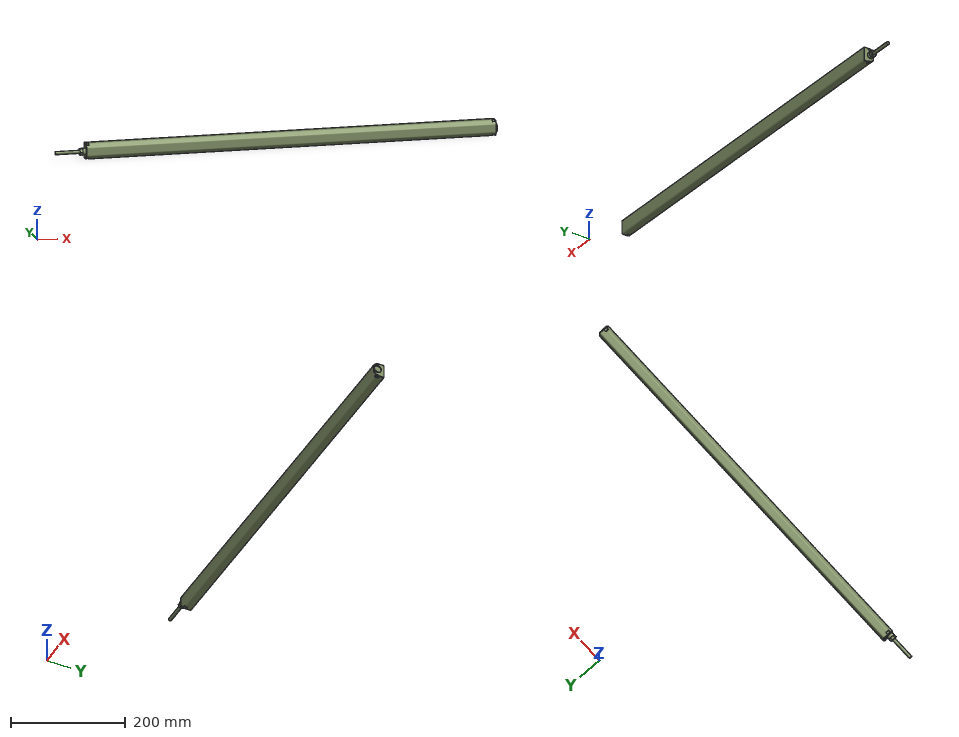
import cadquery as cq
import math


bar_depth = 21.0
bar_height = 28.0
back_radius = 2.3
slope_leg = 6.65
slope_radius = 3.3

bar_length = 735.8
cap_length = 14.0
cap_taper = 0.3
cap_end_chamfer = 0.87

scoop_radius = 3.5
scoop_length = 4.5
scoop_end_gap = 3.5
scoop_y = -2.7

entry_y = -3.0
cable_diameter = 6.0
cable_length = 43.5
nut_across_flats = 11.0
nut_length = 5.0
nut_chamfer = 0.5
collar_diameter = 12.5
collar_length = 5.5
plug_diameter = 13.5
plug_length = 1.7

back_y = bar_depth / 2
front_y = -back_y
top_z = bar_height / 2
slope_top_y = front_y + slope_leg
slope_bottom_z = top_z - slope_leg
body_length = bar_length - 2 * cap_length
nut_start = -collar_length - nut_length
nut_across_corners = nut_across_flats / math.cos(math.radians(30))


def straight_bar(start, length):
    """Prism of the rounded bar section running from start towards +X."""
    corners = [
        (back_y, top_z),
        (slope_top_y, top_z),
        (front_y, slope_bottom_z),
        (front_y, -slope_bottom_z),
        (slope_top_y, -top_z),
        (back_y, -top_z),
    ]
    prism = cq.Workplane("YZ", origin=(start, 0, 0)).polyline(corners).close().extrude(length)
    prism = prism.edges("|X and >Y").fillet(back_radius)
    slope_edges = prism.edges("|X").filter(lambda edge: edge.Center().y < 0)
    return slope_edges.fillet(slope_radius)


def scoop(start, z):
    """Cylinder along X that sinks a rounded hollow into the face at height z."""
    return cq.Workplane("YZ", origin=(start, scoop_y, z)).circle(scoop_radius).extrude(scoop_length)


def end_cap(seam, outward):
    """Cap growing from the seam along outward (-1 or 1), narrowing slightly to its end."""
    seam_outline = straight_bar(seam, cap_length).faces("<X").wires().val()
    sweep = cq.Vector(outward * cap_length, 0, 0)
    cap = cq.Workplane(cq.Solid.extrudeLinear(seam_outline, [], sweep, cap_taper))
    outer_face = ">X" if outward > 0 else "<X"
    cap = cap.faces(outer_face).chamfer(cap_end_chamfer)
    scoop_middle = seam + outward * (cap_length - scoop_end_gap)
    for z in (top_z, -top_z):
        cap = cap.cut(scoop(scoop_middle - scoop_length / 2, z))
    return cap


def entry_cylinder(start, length, diameter):
    """Cylinder on the cable axis running from start towards +X."""
    return cq.Workplane("YZ", origin=(start, entry_y, 0)).circle(diameter / 2).extrude(length)


def gland_nut():
    """Hexagon nut with flats at top and bottom and its corners turned off at both ends."""
    hexagon = (
        cq.Workplane("YZ", origin=(nut_start, entry_y, 0))
        .polygon(6, nut_across_corners)
        .extrude(nut_length)
    )
    turned_blank = entry_cylinder(nut_start, nut_length, nut_across_corners)
    turned_blank = turned_blank.faces("<X or >X").chamfer(nut_chamfer)
    return hexagon.intersect(turned_blank)


def light_bar():
    """Bar body with both caps, the gland and the plug as one solid."""
    bar = straight_bar(cap_length, body_length)
    bar = bar.union(end_cap(cap_length, -1))
    bar = bar.union(end_cap(cap_length + body_length, 1))
    bar = bar.union(entry_cylinder(-collar_length, collar_length, collar_diameter))
    bar = bar.union(gland_nut())
    return bar.union(entry_cylinder(bar_length, plug_length, plug_diameter))


bar = light_bar()
cable = entry_cylinder(nut_start - cable_length, cable_length, cable_diameter)

result = cq.Compound.makeCompound([bar.val(), cable.val()])